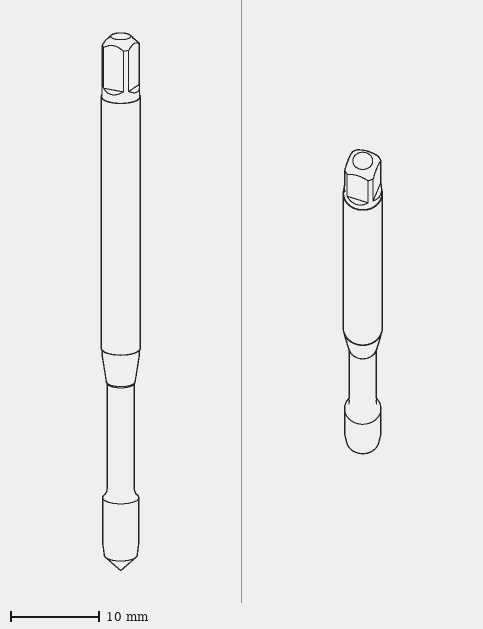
import cadquery as cq

total_length = 64.8
thread_top = 8.9
thread_bottom = 3.45
flare_top = 10.0
neck_top = 22.75
shank_bottom = 27.0
square_bottom = 58.85
shank_top = 57.5

shank_diameter = 4.5
drive_diameter = 4.3
shoulder_diameter = 4.2
neck_diameter = 3.1
shank_end_diameter = 4.35
taper_end_diameter = 3.3
thread_diameter = 4.15
lead_diameter = 3.75
top_face_diameter = 2.3

square_width = 3.45
shank_chamfer = 0.4
shoulder_length = 0.6
taper_edge = 0.2


def make_cutting_head():
    """Threaded head as a plain cylinder with a lead taper and a 90 degree point."""
    lead_radius = lead_diameter / 2
    return (
        cq.Workplane("XZ")
        .polyline([
            (0, 0),
            (lead_radius, lead_radius),
            (thread_diameter / 2, thread_bottom),
            (thread_diameter / 2, thread_top),
            (0, thread_top),
        ])
        .close()
        .revolve(360, (0, 0), (0, 1))
    )


def make_drive_flat_cutter():
    """Cutter for the +X flat, with a floor that slopes down and outward at 45 degrees."""
    flat = square_width / 2
    reach = shank_diameter
    return (
        cq.Workplane("XZ")
        .polyline([
            (flat, square_bottom),
            (reach, square_bottom - (reach - flat)),
            (reach, total_length),
            (flat, total_length),
        ])
        .close()
        .extrude(shank_diameter, both=True)
    )


def make_shank():
    """Flare, neck, tapered shoulder, round shank and square drive."""
    thread_radius = thread_diameter / 2
    neck_radius = neck_diameter / 2
    drive_radius = drive_diameter / 2
    top_radius = top_face_diameter / 2
    shoulder_radius = shoulder_diameter / 2
    shoulder_top = shank_bottom - shank_chamfer

    outline = (
        cq.Workplane("XZ")
        .moveTo(0, total_length)
        .lineTo(top_radius, total_length)
        .lineTo(drive_radius, total_length - (drive_radius - top_radius))
        .lineTo(drive_radius, shank_top + shank_chamfer)
        .lineTo(shank_end_diameter / 2, shank_top)
        .lineTo(shank_diameter / 2, shank_top)
        .lineTo(shank_diameter / 2, shank_bottom)
        .lineTo(shank_end_diameter / 2, shank_bottom)
        .lineTo(shoulder_radius, shoulder_top)
        .lineTo(shoulder_radius, shoulder_top - shoulder_length)
        .lineTo(taper_end_diameter / 2, neck_top + taper_edge)
        .lineTo(neck_radius, neck_top)
        .lineTo(neck_radius, flare_top)
        .tangentArcPoint((thread_radius, thread_top), relative=False)
        .lineTo(0, thread_top)
        .close()
    )
    shank = outline.revolve(360, (0, 0), (0, 1))
    flat_cutter = make_drive_flat_cutter()
    for side in range(4):
        shank = shank.cut(flat_cutter.rotate((0, 0, 0), (0, 0, 1), 90 * side))
    return shank


cutting_head = make_cutting_head()
shank = make_shank()

result = cq.Compound.makeCompound([cutting_head.val(), shank.val()])